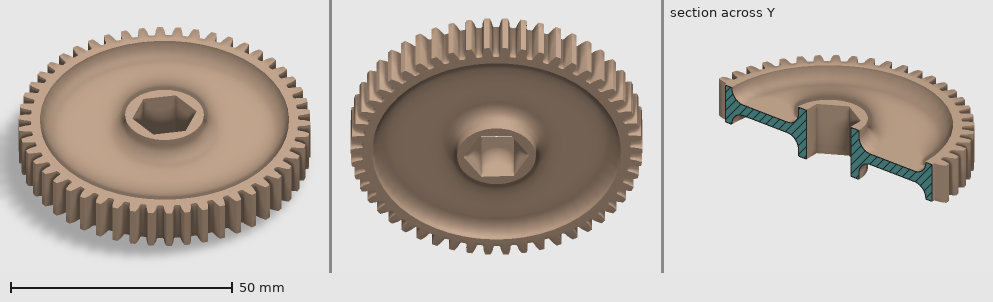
import cadquery as cq
import math

INCH = 25.4

DIAMETRAL_PITCH = 20
TOOTH_COUNT = 50
MODULE = INCH / DIAMETRAL_PITCH
PRESSURE_ANGLE = math.radians(14.5)
DEDENDUM_FACTOR = 1.25
ROOT_FILLET = 0.02 * INCH
FLANK_STEPS = 4
FILLET_STEPS = 3

PITCH_RADIUS = TOOTH_COUNT * MODULE / 2
TIP_RADIUS = PITCH_RADIUS + MODULE
ROOT_RADIUS = PITCH_RADIUS - DEDENDUM_FACTOR * MODULE
BASE_RADIUS = PITCH_RADIUS * math.cos(PRESSURE_ANGLE)
TOOTH_PITCH = 2 * math.pi / TOOTH_COUNT
FIRST_GAP_ANGLE = math.pi / 2 + TOOTH_PITCH / 2

FACE_WIDTH = 0.375 * INCH
WEB_THICKNESS = 0.11 * INCH
HUB_LENGTH = 12.65
HUB_RADIUS = 0.35 * INCH
RIM_INNER_RADIUS = 28.15
WEB_FILLET = 0.125 * INCH
HEX_ACROSS_FLATS = 12.8


def polar(radius, angle):
    return (radius * math.cos(angle), radius * math.sin(angle))


def involute_roll(radius):
    """Angle swept by an involute between the base circle and the given radius."""
    pressure = math.acos(BASE_RADIUS / radius)
    return math.tan(pressure) - pressure


TIP_HALF_GAP = TOOTH_PITCH / 4 + involute_roll(TIP_RADIUS) - involute_roll(PITCH_RADIUS)
BASE_HALF_GAP = TOOTH_PITCH / 4 - involute_roll(PITCH_RADIUS)

FILLET_CENTRE_RADIUS = ROOT_RADIUS + ROOT_FILLET
FILLET_OFFSET_ANGLE = math.asin(ROOT_FILLET / FILLET_CENTRE_RADIUS)
FILLET_SWEEP = math.pi / 2 - FILLET_OFFSET_ANGLE


def flank_points():
    """Radius and angle from the gap axis, down the involute from the tip to just above its base."""
    points = []
    for step in range(FLANK_STEPS):
        radius = TIP_RADIUS + (BASE_RADIUS - TIP_RADIUS) * step / FLANK_STEPS
        points.append((radius, BASE_HALF_GAP + involute_roll(radius)))
    return points


def fillet_points():
    """Radius and angle from the gap axis, round the root fillet from the flank to the root circle."""
    centre_angle = BASE_HALF_GAP - FILLET_OFFSET_ANGLE
    points = []
    for step in range(FILLET_STEPS + 1):
        turn = FILLET_SWEEP * (1 - step / FILLET_STEPS)
        inward = FILLET_CENTRE_RADIUS - ROOT_FILLET * math.cos(turn)
        sideways = ROOT_FILLET * math.sin(turn)
        points.append((math.hypot(inward, sideways), centre_angle + math.atan2(sideways, inward)))
    return points


def gap_points(gap_angle):
    """Points of one whole tooth gap, counterclockwise from tip to tip."""
    half_gap = flank_points() + fillet_points()
    first_half = [polar(radius, gap_angle - angle) for radius, angle in half_gap]
    second_half = [polar(radius, gap_angle + angle) for radius, angle in reversed(half_gap)]
    return first_half + [polar(ROOT_RADIUS, gap_angle)] + second_half


def make_toothed_disc():
    outline = cq.Workplane("XY").workplane(offset=-FACE_WIDTH / 2)
    outline = outline.moveTo(*polar(TIP_RADIUS, FIRST_GAP_ANGLE - TIP_HALF_GAP))
    for index in range(TOOTH_COUNT):
        gap_angle = FIRST_GAP_ANGLE + index * TOOTH_PITCH
        tip_middle = polar(TIP_RADIUS, gap_angle + TOOTH_PITCH / 2)
        tip_end = polar(TIP_RADIUS, gap_angle + TOOTH_PITCH - TIP_HALF_GAP)
        outline = outline.spline(gap_points(gap_angle)[1:], includeCurrent=True)
        outline = outline.threePointArc(tip_middle, tip_end)
    return outline.close().extrude(FACE_WIDTH)


def make_recess():
    """Ring between hub and rim, removed above the web, with a concave fillet at the hub and at the rim."""
    floor = WEB_THICKNESS / 2
    top = HUB_LENGTH / 2
    fillet_top = floor + WEB_FILLET
    hub_fillet_end = HUB_RADIUS + WEB_FILLET
    rim_fillet_start = RIM_INNER_RADIUS - WEB_FILLET
    bulge = WEB_FILLET * math.sin(math.pi / 4)
    profile = (
        cq.Workplane("XZ")
        .moveTo(HUB_RADIUS, top)
        .lineTo(HUB_RADIUS, fillet_top)
        .threePointArc((hub_fillet_end - bulge, fillet_top - bulge), (hub_fillet_end, floor))
        .lineTo(rim_fillet_start, floor)
        .threePointArc((rim_fillet_start + bulge, fillet_top - bulge), (RIM_INNER_RADIUS, fillet_top))
        .lineTo(RIM_INNER_RADIUS, top)
        .close()
    )
    return profile.revolve(360, (0, 0, 0), (0, 1, 0))


def make_hub():
    return cq.Workplane("XY").circle(HUB_RADIUS).extrude(HUB_LENGTH / 2, both=True)


def make_hex_bore():
    """Hexagon through the hub with two of its corners on the Y axis."""
    across_corners = HEX_ACROSS_FLATS / math.cos(math.pi / 6)
    hexagon = cq.Workplane("XY").polygon(6, across_corners).extrude(HUB_LENGTH / 2, both=True)
    return hexagon.rotate((0, 0, 0), (0, 0, 1), 90)


recess = make_recess()
result = (
    make_toothed_disc()
    .union(make_hub())
    .cut(recess)
    .cut(recess.mirror("XY"))
    .cut(make_hex_bore())
)